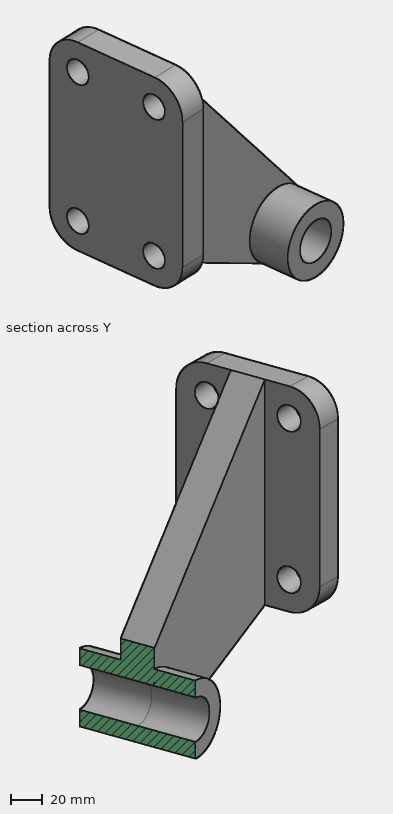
import cadquery as cq
import math

TOTAL_DEPTH = 166.8
TOTAL_HEIGHT = 208.8

PLATE_WIDTH = 110.0
PLATE_HEIGHT = 153.8
PLATE_THICKNESS = 20.0
CORNER_RADIUS = 23.2
HOLE_DIAMETER = 18.0
HOLE_SPACING_X = 63.0
HOLE_SPACING_Z = 110.0

BOSS_DIAMETER = 53.6
BORE_DIAMETER = 30.0
BOSS_LENGTH = 89.0
BOSS_RADIUS = BOSS_DIAMETER / 2
BOSS_Y = TOTAL_DEPTH - BOSS_RADIUS
BOSS_Z = BOSS_RADIUS

WEB_THICKNESS = 26.0

PLATE_TOP = TOTAL_HEIGHT
PLATE_BOTTOM = PLATE_TOP - PLATE_HEIGHT
PLATE_CENTER_Z = (PLATE_TOP + PLATE_BOTTOM) / 2


def make_plate():
    """Rounded plate with four through holes."""
    plate = (
        cq.Workplane("XY")
        .box(PLATE_WIDTH, PLATE_THICKNESS, PLATE_HEIGHT)
        .edges("|Y")
        .fillet(CORNER_RADIUS)
        .faces("<Y")
        .workplane()
        .rarray(HOLE_SPACING_X, HOLE_SPACING_Z, 2, 2)
        .hole(HOLE_DIAMETER)
    )
    return plate.translate((0, PLATE_THICKNESS / 2, PLATE_CENTER_Z))


def x_cylinder(diameter):
    """Cylinder on the boss axis, as long as the boss and centered on X = 0."""
    return (
        cq.Workplane("YZ")
        .center(BOSS_Y, BOSS_Z)
        .circle(diameter / 2)
        .extrude(BOSS_LENGTH / 2, both=True)
    )


def tangent_point(y, z, side):
    """Point where a line from (y, z) touches the boss; side is +1 above, -1 below."""
    dy = y - BOSS_Y
    dz = z - BOSS_Z
    toward_start = math.atan2(dz, dy)
    half_angle = math.acos(BOSS_RADIUS / math.hypot(dy, dz))
    angle = toward_start - side * half_angle
    return (BOSS_Y + BOSS_RADIUS * math.cos(angle), BOSS_Z + BOSS_RADIUS * math.sin(angle))


def make_web():
    """Flat web from the full plate height, tangent to the top and bottom of the boss."""
    upper_start = (PLATE_THICKNESS, PLATE_TOP)
    lower_start = (PLATE_THICKNESS, PLATE_BOTTOM)
    outline = [
        lower_start,
        upper_start,
        tangent_point(*upper_start, 1),
        (BOSS_Y, BOSS_Z),
        tangent_point(*lower_start, -1),
    ]
    return cq.Workplane("YZ").polyline(outline).close().extrude(WEB_THICKNESS / 2, both=True)


result = (
    make_plate()
    .union(make_web())
    .union(x_cylinder(BOSS_DIAMETER))
    .cut(x_cylinder(BORE_DIAMETER))
)